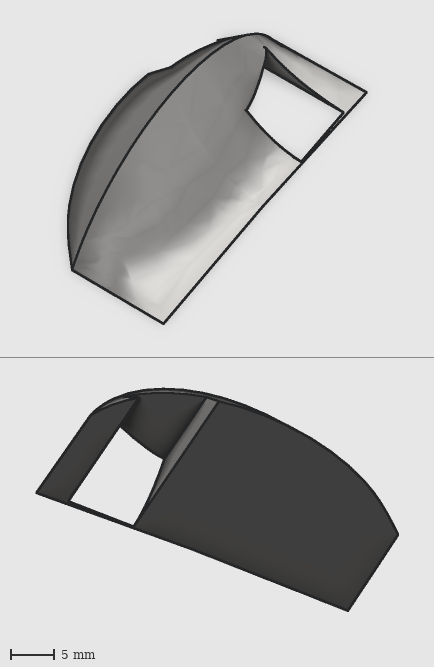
import cadquery as cq
import math

CREST_HALF_LENGTH = 20.1
CREST_HEIGHT = 12.37

CORNER_HALF_LENGTH = 20.25
BACK_CORNER_X = 13.5
FRONT_CORNER_X = 13.1
MID_FOOT_X = 12.95
UPPER_PULL_DISTANCE = 2.8
UPPER_SLOPE = 1.75
LOWER_PULL_DISTANCE = 5.9
END_HOLLOW = 0.2
LENGTH_STATIONS = (0.25, 0.5, 0.75)
PROFILE_STATIONS = (0.3, 0.6)

SLOPE_FOOT = [(-4.93, 16.35), (-8.75, 7.8), (-9.23, 2.2), (-7.0, -9.6), (-4.4, -14.7), (-2.25, -17.55)]

OPENING_Y_MIN = 7.8
OPENING_Y_MAX = 16.35
OPENING_HEIGHT = 4.0
OPENING_X_MAX = 12.95
OPENING_X_MIN = -20.0

BACK_END = cq.Vector(0, CREST_HALF_LENGTH, 0)
FRONT_END = cq.Vector(0, -CREST_HALF_LENGTH, 0)
APEX = cq.Vector(0, 0, CREST_HEIGHT)
UPPER_PULL = APEX + cq.Vector(1, 0, -UPPER_SLOPE) * UPPER_PULL_DISTANCE
LOWER_PULL = cq.Vector(MID_FOOT_X - LOWER_PULL_DISTANCE, 0, 0)
MID_FOOT = cq.Vector(MID_FOOT_X, 0, 0)
BACK_CORNER = cq.Vector(BACK_CORNER_X, CORNER_HALF_LENGTH, 0)
FRONT_CORNER = cq.Vector(FRONT_CORNER_X, -CORNER_HALF_LENGTH, 0)


def crest_point(y):
    """Point on the crest arc at the given Y."""
    radius = (CREST_HALF_LENGTH**2 + CREST_HEIGHT**2) / (2 * CREST_HEIGHT)
    return cq.Vector(0, y, math.sqrt(radius**2 - y**2) - radius + CREST_HEIGHT)


def half_crest(end):
    """Crest arc from one end up to the apex."""
    return cq.Edge.makeThreePointArc(end, crest_point(end.y / 2), APEX)


def mid_profile():
    """Concave curve from the apex down to the foot at mid-length, ending flat."""
    return cq.Edge.makeBezier([APEX, UPPER_PULL, LOWER_PULL, MID_FOOT])


def guide_points(end, corner):
    """Points inside a patch: the mid profile scaled to each station and hollowed towards the end."""
    points = []
    for station in LENGTH_STATIONS:
        crest = crest_point(end.y * station)
        foot = MID_FOOT + (corner - MID_FOOT) * station
        for along in PROFILE_STATIONS:
            profile = mid_profile().positionAt(along)
            plain_reach = profile.x / MID_FOOT_X
            reach = plain_reach * (1 - END_HOLLOW * station**2 * (1 - plain_reach))
            height = crest.z * profile.z / CREST_HEIGHT
            y = crest.y + (foot.y - crest.y) * reach
            points.append(cq.Vector(foot.x * reach, y, height))
    return points


def concave_patch(end, corner):
    """Half of the concave side, filled between crest, mid profile and straight feet."""
    boundary = [
        half_crest(end),
        mid_profile(),
        cq.Edge.makeLine(MID_FOOT, corner),
        cq.Edge.makeLine(corner, end),
    ]
    return cq.Face.makeNSidedSurface(boundary, guide_points(end, corner))


def slope_foot():
    """Curved foot of the sloped side."""
    passed = [cq.Vector(x, y, 0) for x, y in SLOPE_FOOT]
    return cq.Edge.makeSpline([BACK_END, *passed, FRONT_END])


def sloped_face():
    """Sloped side, ruled between the crest and its curved foot."""
    crest = cq.Edge.makeThreePointArc(BACK_END, APEX, FRONT_END)
    return cq.Face.makeRuledSurface(crest, slope_foot())


def base_face():
    """Flat base."""
    outline = [
        slope_foot(),
        cq.Edge.makeLine(FRONT_END, FRONT_CORNER),
        cq.Edge.makeLine(FRONT_CORNER, MID_FOOT),
        cq.Edge.makeLine(MID_FOOT, BACK_CORNER),
        cq.Edge.makeLine(BACK_CORNER, BACK_END),
    ]
    return cq.Face.makeFromWires(cq.Wire.assembleEdges(outline))


def body():
    """Closed ridge body."""
    faces = [
        sloped_face(),
        concave_patch(BACK_END, BACK_CORNER),
        concave_patch(FRONT_END, FRONT_CORNER),
        base_face(),
    ]
    shell = cq.Shell.makeShell(faces)
    return cq.Workplane(cq.Solid.makeSolid(shell))


def opening():
    """Block that cuts the opening up from the base."""
    return cq.Workplane().box(
        OPENING_X_MAX - OPENING_X_MIN,
        OPENING_Y_MAX - OPENING_Y_MIN,
        OPENING_HEIGHT,
        centered=False,
    ).translate((OPENING_X_MIN, OPENING_Y_MIN, 0))


result = body().cut(opening())